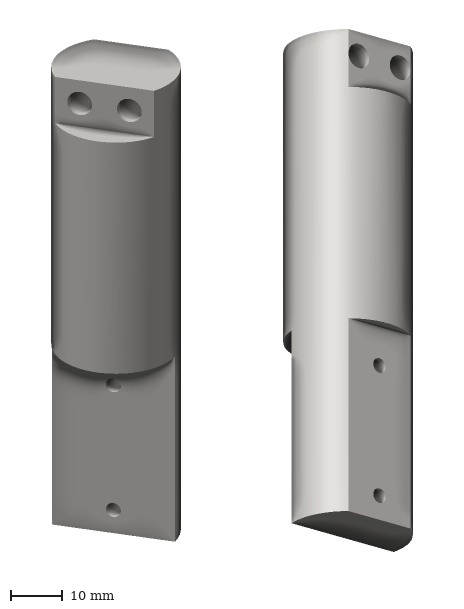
import cadquery as cq

length = 100.0
diameter = 25.0

front_flat_offset = 7.5
front_flat_height = 10.0
back_flat_offset = 10.0
back_flat_height = 12.0

tongue_length = 40.0
tongue_front_offset = 1.7

top_hole_diameter = 5.0
top_hole_spacing = 10.0
top_hole_z = length - front_flat_height / 2
tongue_hole_diameter = 3.0
tongue_hole_heights = (5.0, 32.0)


def side_cut(side, offset, bottom, height):
    """Block beyond a flat; side is -1 for the front (-Y) and +1 for the back (+Y)."""
    block = cq.Workplane("XY").box(diameter, diameter, height, centered=(True, True, False))
    return block.translate((0, side * (offset + diameter / 2), bottom))


def cross_hole(hole_diameter, x, z):
    """Cylinder running through the whole bar along Y."""
    return (
        cq.Workplane("XZ")
        .center(x, z)
        .circle(hole_diameter / 2)
        .extrude(diameter / 2, both=True)
    )


result = cq.Workplane("XY").circle(diameter / 2).extrude(length)

result = result.cut(side_cut(-1, front_flat_offset, length - front_flat_height, front_flat_height))
result = result.cut(side_cut(1, back_flat_offset, length - back_flat_height, back_flat_height))

result = result.cut(side_cut(-1, tongue_front_offset, 0, tongue_length))
result = result.cut(side_cut(1, back_flat_offset, 0, tongue_length))

for x in (-top_hole_spacing / 2, top_hole_spacing / 2):
    result = result.cut(cross_hole(top_hole_diameter, x, top_hole_z))
for z in tongue_hole_heights:
    result = result.cut(cross_hole(tongue_hole_diameter, 0, z))